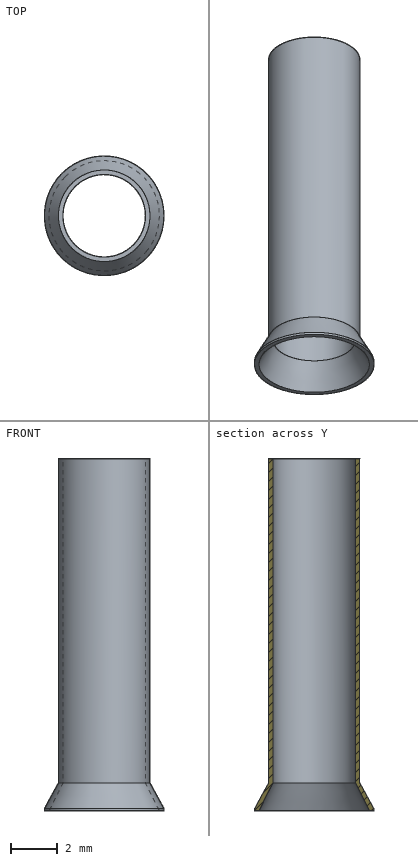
import cadquery as cq

total_length = 15.0
tube_diameter = 3.9
wall = 0.2
flare_diameter = 5.1
flare_height = 1.2
lip_height = 0.1

tube_radius = tube_diameter / 2
bore_radius = tube_radius - wall
flare_radius = flare_diameter / 2
mouth_radius = flare_radius - wall


def make_flared_sleeve():
    """Thin sleeve along Z whose wall spreads into a funnel at its lower end."""
    half_section = [
        (mouth_radius, 0),
        (flare_radius, 0),
        (flare_radius, lip_height),
        (tube_radius, flare_height),
        (tube_radius, total_length),
        (bore_radius, total_length),
        (bore_radius, flare_height),
    ]
    return cq.Workplane("XZ").polyline(half_section).close().revolve(360, (0, 0, 0), (0, 1, 0))


result = make_flared_sleeve()